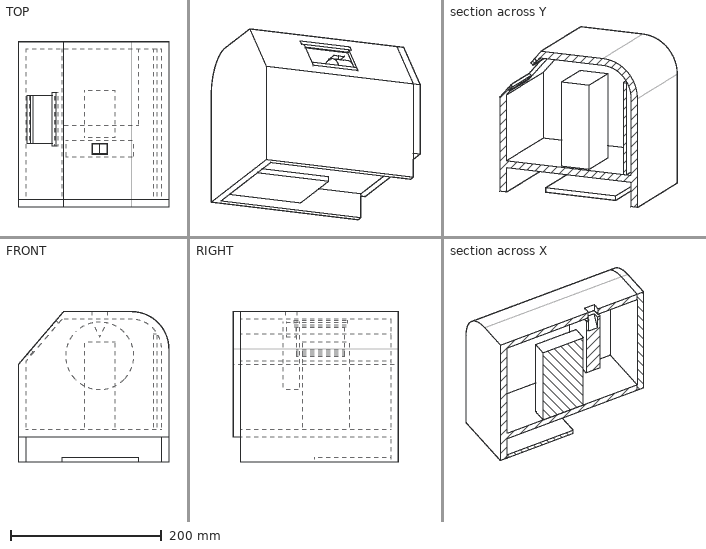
import cadquery as cq
import math


WIDTH = 200.0
DEPTH = 219.8
HEIGHT = 200.2

SLOPE_RUN = 60.0
SLOPE_BASE_Z = 130.0
CORNER_RADIUS = 49.9
WALL = 10.0
SLOPE_WALL = 5.0

PANEL_THICKNESS = 9.9
PANEL_BOTTOM_Z = 33.5

WINDOW_LOW_X = 11.5
WINDOW_HIGH_X = 44.5
WINDOW_LOW_Y = 84.5
WINDOW_HIGH_Y = 148.3
LOWER_BAR_RUN = 4.8
UPPER_BAR_RUN = 5.0
UPPER_BAR_OVERHANG = 3.7
BAR_THICKNESS = 4.0

FEED_X = 108.0
FEED_Y = 77.4
FEED_LENGTH = 20.7
FEED_WIDTH = 14.7

DRUM_RADIUS = 45.0
DRUM_AXIS_Z = 141.3
DRUM_WIDTH = 21.5
POCKET_LENGTH = 20.2
POCKET_WIDTH = 13.0
POCKET_DEPTH = 19.8

BLOCK_LOW_X = 88.0
BLOCK_LOW_Y = 92.3
BLOCK_HIGH_Y = 154.5
BLOCK_TOP_Z = 159.5

GUIDE_LOW_X = 179.3
GUIDE_THICKNESS = 4.8
GUIDE_TOP_Z = 170.3

TRAY_LOW_X = 57.8
TRAY_WIDTH = 101.5
TRAY_DEPTH = 101.5
TRAY_HEIGHT = 6.4

SHELF_TOP_Z = PANEL_BOTTOM_Z + WALL
BACK_WALL_Y = DEPTH - WALL
SLOPE_ANGLE = math.atan2(HEIGHT - SLOPE_BASE_Z, SLOPE_RUN)


def box(x0, x1, y0, y1, z0, z1):
    return cq.Workplane("XY").box(x1 - x0, y1 - y0, z1 - z0, centered=False).translate((x0, y0, z0))


def extrude_profile(points, y0, y1):
    """Prism along Y on a closed polygon of (x, z) points."""
    return cq.Workplane("XZ").polyline(points).close().extrude(y0 - y1).translate((0, y0, 0))


def outline(y0, y1, wall=0, slope_wall=0):
    """Prism along Y with the shell outline, moved inwards by the given wall thicknesses."""
    left = wall
    right = WIDTH - wall
    top = HEIGHT - wall
    slope_low_z = SLOPE_BASE_Z + left * math.tan(SLOPE_ANGLE) - slope_wall / math.cos(SLOPE_ANGLE)
    slope_high_x = SLOPE_RUN - wall / math.tan(SLOPE_ANGLE) + slope_wall / math.sin(SLOPE_ANGLE)
    arc_x = WIDTH - CORNER_RADIUS
    arc_z = HEIGHT - CORNER_RADIUS
    radius = CORNER_RADIUS - wall
    diagonal = radius * math.sqrt(0.5)
    return (
        cq.Workplane("XZ")
        .moveTo(left, 0)
        .lineTo(left, slope_low_z)
        .lineTo(slope_high_x, top)
        .lineTo(arc_x, top)
        .threePointArc((arc_x + diagonal, arc_z + diagonal), (right, arc_z))
        .lineTo(right, 0)
        .close()
        .extrude(y0 - y1)
        .translate((0, y0, 0))
    )


def slope_slab(x0, x1, y0, y1, thickness):
    """Slab of the sloped skin between two X stations on its outer face."""
    sine = math.sin(SLOPE_ANGLE)
    cosine = math.cos(SLOPE_ANGLE)
    z0 = SLOPE_BASE_Z + x0 * math.tan(SLOPE_ANGLE)
    z1 = SLOPE_BASE_Z + x1 * math.tan(SLOPE_ANGLE)
    inward_x = thickness * sine
    inward_z = -thickness * cosine
    points = [
        (x0, z0),
        (x1, z1),
        (x1 + inward_x, z1 + inward_z),
        (x0 + inward_x, z0 + inward_z),
    ]
    return extrude_profile(points, y0, y1)


def make_lower_bar():
    return slope_slab(
        WINDOW_LOW_X, WINDOW_LOW_X + LOWER_BAR_RUN, WINDOW_LOW_Y, WINDOW_HIGH_Y, BAR_THICKNESS
    )


def make_upper_bar():
    return slope_slab(
        WINDOW_HIGH_X,
        WINDOW_HIGH_X + UPPER_BAR_RUN,
        WINDOW_LOW_Y - UPPER_BAR_OVERHANG,
        WINDOW_HIGH_Y + UPPER_BAR_OVERHANG,
        BAR_THICKNESS,
    )


def make_housing(bars):
    shell = outline(PANEL_THICKNESS, DEPTH)

    cavity = outline(PANEL_THICKNESS, BACK_WALL_Y, WALL, SLOPE_WALL)
    shelf = box(WALL, WIDTH - WALL, PANEL_THICKNESS, BACK_WALL_Y, PANEL_BOTTOM_Z, SHELF_TOP_Z)
    shell = shell.cut(cavity.cut(shelf))

    shell = shell.cut(slope_slab(WINDOW_LOW_X, WINDOW_HIGH_X, WINDOW_LOW_Y, WINDOW_HIGH_Y, SLOPE_WALL))
    for bar in bars:
        shell = shell.cut(bar)

    feed_hole = box(
        FEED_X - FEED_LENGTH / 2,
        FEED_X + FEED_LENGTH / 2,
        FEED_Y - FEED_WIDTH / 2,
        FEED_Y + FEED_WIDTH / 2,
        HEIGHT - WALL,
        HEIGHT,
    )
    return shell.cut(feed_hole)


def make_front_panel():
    panel = outline(0, PANEL_THICKNESS)
    return panel.cut(box(0, WIDTH, 0, PANEL_THICKNESS, 0, PANEL_BOTTOM_Z))


def make_drum():
    """Disc with its axis along Y and a V-shaped pocket in its crown."""
    disc = (
        cq.Workplane("XZ")
        .center(FEED_X, DRUM_AXIS_Z)
        .circle(DRUM_RADIUS)
        .extrude(DRUM_WIDTH / 2, both=True)
        .translate((0, FEED_Y, 0))
    )
    crown_z = DRUM_AXIS_Z + DRUM_RADIUS
    pocket = extrude_profile(
        [
            (FEED_X - POCKET_LENGTH / 2, crown_z),
            (FEED_X + POCKET_LENGTH / 2, crown_z),
            (FEED_X, crown_z - POCKET_DEPTH),
        ],
        FEED_Y - POCKET_WIDTH / 2,
        FEED_Y + POCKET_WIDTH / 2,
    )
    return disc.cut(pocket)


def make_drive_block():
    block_high_x = 2 * FEED_X - BLOCK_LOW_X
    return box(BLOCK_LOW_X, block_high_x, BLOCK_LOW_Y, BLOCK_HIGH_Y, SHELF_TOP_Z, BLOCK_TOP_Z)


def make_guide_plate():
    guide_high_x = GUIDE_LOW_X + GUIDE_THICKNESS
    return box(GUIDE_LOW_X, guide_high_x, PANEL_THICKNESS, BACK_WALL_Y, SHELF_TOP_Z, GUIDE_TOP_Z)


def make_tray():
    return box(TRAY_LOW_X, TRAY_LOW_X + TRAY_WIDTH, BACK_WALL_Y - TRAY_DEPTH, BACK_WALL_Y, 0, TRAY_HEIGHT)


lower_bar = make_lower_bar()
upper_bar = make_upper_bar()
housing = make_housing([lower_bar, upper_bar])
front_panel = make_front_panel()
drum = make_drum()
drive_block = make_drive_block()
guide_plate = make_guide_plate()
tray = make_tray()

result = cq.Compound.makeCompound(
    [
        housing.val(),
        front_panel.val(),
        lower_bar.val(),
        upper_bar.val(),
        drum.val(),
        drive_block.val(),
        guide_plate.val(),
        tray.val(),
    ]
)